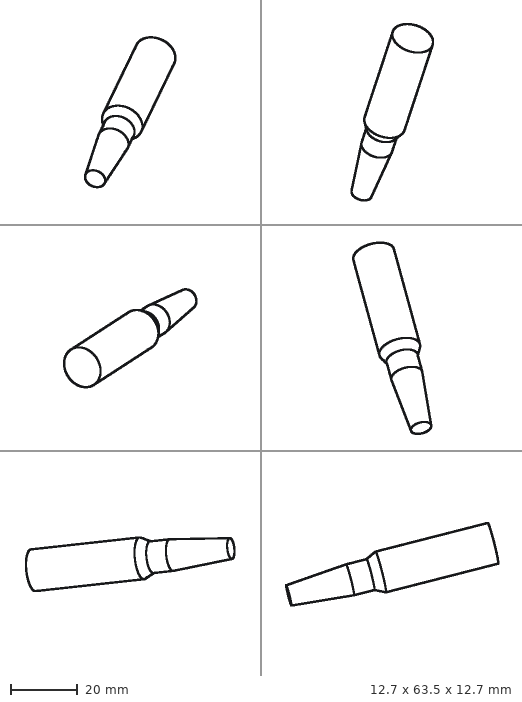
import cadquery as cq

total_length = 63.5
tip_length = 19.05
neck_length = 6.35
shoulder_length = 3.2
shank_diameter = 12.7
neck_diameter = 9.65
tip_end_diameter = 6.35

tip_end_y = -total_length / 2
joint_y = tip_end_y + tip_length
shoulder_start_y = joint_y + neck_length
shank_start_y = shoulder_start_y + shoulder_length
shank_end_y = total_length / 2


def turned_body(stations):
    """Revolve (radius, y) stations, listed front to back, around the Y axis."""
    front_y = stations[0][1]
    back_y = stations[-1][1]
    outline = [(0, front_y), *stations, (0, back_y)]
    return cq.Workplane("XY").polyline(outline).close().revolve(360, (0, 0), (0, 1))


def make_holder():
    """Cylindrical shank that narrows through a conical shoulder to the neck."""
    return turned_body([
        (neck_diameter / 2, joint_y),
        (neck_diameter / 2, shoulder_start_y),
        (shank_diameter / 2, shank_start_y),
        (shank_diameter / 2, shank_end_y),
    ])


def make_tip():
    """Tapered tip that butts flat against the front face of the neck."""
    return turned_body([
        (tip_end_diameter / 2, tip_end_y),
        (neck_diameter / 2, joint_y),
    ])


holder = make_holder()
tip = make_tip()

result = cq.Compound.makeCompound([holder.val(), tip.val()])